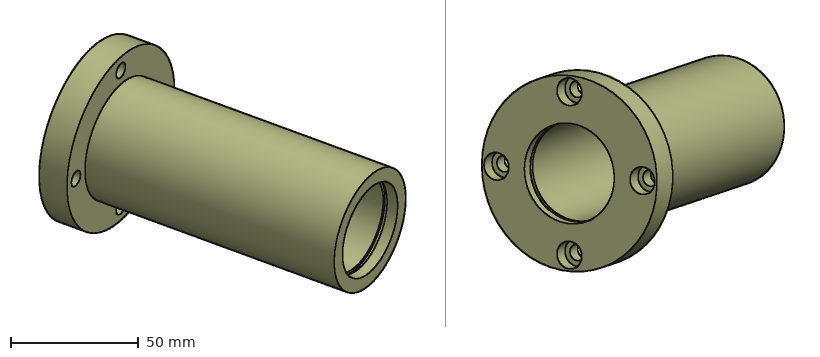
import cadquery as cq

length = 129.0
flange_diameter = 78.0
flange_thickness = 13.0
body_diameter = 52.0
bore_diameter = 40.0

groove_diameter = 42.5
groove_width = 1.8
groove_offset = 4.9

hole_count = 4
hole_circle_diameter = 65.0
hole_diameter = 6.6
counterbore_diameter = 11.0
counterbore_depth = 6.6


def cylinder(diameter, start, depth):
    """Solid cylinder along +X, beginning at x = start."""
    return cq.Workplane("YZ", origin=(start, 0, 0)).circle(diameter / 2).extrude(depth)


def mounting_holes(diameter, depth):
    """Ring of cylinders that cut into the flange from its outer face."""
    return (
        cq.Workplane("YZ")
        .polarArray(hole_circle_diameter / 2, 0, 360, hole_count)
        .circle(diameter / 2)
        .extrude(depth)
    )


sleeve = cylinder(flange_diameter, 0, flange_thickness).union(cylinder(body_diameter, 0, length))

sleeve = sleeve.cut(cylinder(bore_diameter, 0, length))
for groove_start in (groove_offset, length - groove_offset - groove_width):
    sleeve = sleeve.cut(cylinder(groove_diameter, groove_start, groove_width))

sleeve = sleeve.cut(mounting_holes(hole_diameter, flange_thickness))
result = sleeve.cut(mounting_holes(counterbore_diameter, counterbore_depth))